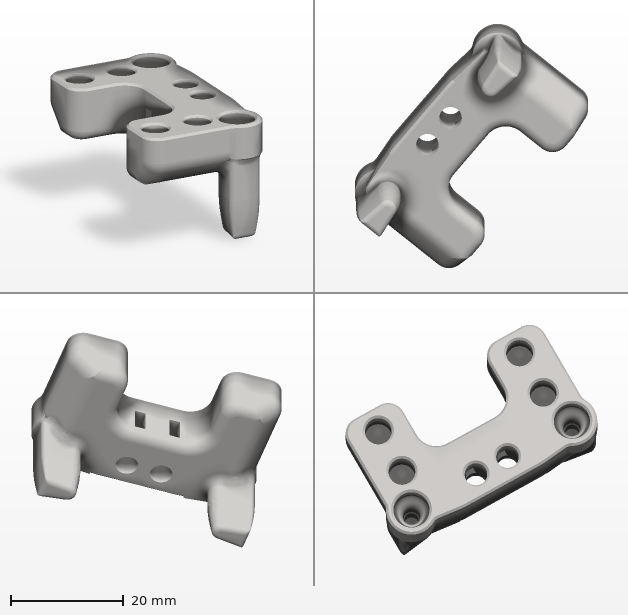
import cadquery as cq
import math

body_height = 10.0
arm_outer_x = 20.0
arm_inner_x = 8.8
arm_front_y = -19.35
slot_back_y = -7.38
slot_corner_radius = 4.0
arm_corner_radius = 3.0
underside_radius = 2.0
arm_bevel = 4.0
bevel_angle = math.radians(45)
bevel_foot_x = arm_bevel - arm_outer_x
bend_tangent = arm_corner_radius * math.tan(bevel_angle / 2)
edge_break = 0.4
rear_underside_bevel = 0.5

rear_y = 4.2
rear_flat_half = 8.0
rear_slope_angle = math.radians(6.3)
rear_bend_radius = 10.0

boss_x = 16.35
boss_radius = 4.5
boss_wall_bottom = 3.7
boss_blend_radius = 2.0

body_length = boss_radius - arm_front_y

leg_width = 8.0
leg_depth = 6.0
leg_center_x = arm_outer_x - leg_width / 2
leg_tip_z = -12.0
leg_taper_start_z = -4.38
leg_taper_radius = 30.0
leg_taper_angle = math.radians(10)
leg_tip_radius = 1.0
leg_outer_corner_radius = 1.0
leg_nose_radius = 2.35
leg_root_radius = 1.5
leg_top_z = 6.25

joint_margin = 0.1

screw_bore_radius = 3.2
screw_bore_depth = 3.0
screw_cone_radius = 2.25
screw_shank_radius = 1.5
pilot_radius = 1.3
shank_depth = 8.35
pilot_depth = 11.65
drill_tip_angle = math.radians(59)

pocket_radius = 2.38
pocket_x = 14.4
pocket_ys = (-6.88, -15.35)
pocket_depth = 5.0

bridge_hole_x = 3.2
bridge_hole_radius = 2.0
window_width = 2.0
window_bottom = 2.15
window_height = 4.13


def nearest(x, y, z):
    """Selector for the edge closest to a point."""
    return cq.selectors.NearestToPointSelector((x, y, z))


def spin(profile, x, y):
    """Turn a half profile about the Z axis and place it at (x, y)."""
    return profile.revolve(360, (0, 0, 0), (0, 1, 0)).translate((x, y, 0))


def rear_slope_y(x):
    """Y of the sloping rear wall at a given distance from the middle plane."""
    return rear_y - (x - rear_flat_half) * math.tan(rear_slope_angle)


def body_blank():
    """Left half of the body outline at full height, with sharp corners."""
    return (
        cq.Workplane("XY")
        .moveTo(0, rear_y)
        .lineTo(-rear_flat_half, rear_y)
        .lineTo(-boss_x, rear_slope_y(boss_x))
        .lineTo(-arm_outer_x, 0)
        .lineTo(-arm_outer_x, arm_front_y)
        .lineTo(-arm_inner_x, arm_front_y)
        .lineTo(-arm_inner_x, slot_back_y)
        .lineTo(0, slot_back_y)
        .close()
        .extrude(body_height)
    )


def kink_cutter():
    """Prism removed to round the edge where the arm bevel meets the underside."""
    half_bend = bevel_angle / 2
    return (
        cq.Workplane("XZ")
        .moveTo(bevel_foot_x + bend_tangent, 0)
        .threePointArc(
            (
                bevel_foot_x + bend_tangent - arm_corner_radius * math.sin(half_bend),
                arm_corner_radius * (1 - math.cos(half_bend)),
            ),
            (
                bevel_foot_x - bend_tangent * math.cos(bevel_angle),
                bend_tangent * math.sin(bevel_angle),
            ),
        )
        .lineTo(bevel_foot_x - bend_tangent, -bend_tangent)
        .close()
        .extrude(body_length, both=True)
    )


def body_half():
    """Left half of the U-shaped body, rounded but without boss or leg."""
    bevel = (
        cq.Workplane("XZ")
        .moveTo(-arm_outer_x, 0)
        .lineTo(bevel_foot_x, 0)
        .lineTo(-arm_outer_x, arm_bevel)
        .close()
        .extrude(body_length, both=True)
    )
    body = body_blank().cut(bevel)

    mid_z = body_height / 2
    half_bevel = arm_bevel / 2
    body = body.edges(nearest(-arm_outer_x, arm_front_y / 2, arm_bevel)).fillet(arm_corner_radius)
    body = body.edges(nearest(-rear_flat_half, rear_y, mid_z)).fillet(rear_bend_radius)
    body = body.edges(nearest(-arm_inner_x, slot_back_y, mid_z)).fillet(slot_corner_radius)
    body = body.edges(nearest(-arm_inner_x, arm_front_y, mid_z)).fillet(arm_corner_radius)
    body = body.edges(nearest(half_bevel - arm_outer_x, arm_front_y, half_bevel)).fillet(arm_corner_radius)
    body = body.edges(nearest(-arm_inner_x, arm_front_y / 2, 0)).fillet(underside_radius)
    body = body.edges(nearest(-rear_flat_half / 2, rear_y, 0)).chamfer(rear_underside_bevel)
    return body.cut(kink_cutter())


def boss():
    """Round boss with a conical underside."""
    profile = (
        cq.Workplane("XZ")
        .moveTo(0, body_height)
        .lineTo(boss_radius, body_height)
        .lineTo(boss_radius, boss_wall_bottom)
        .lineTo(boss_radius - boss_wall_bottom, 0)
        .lineTo(0, 0)
        .close()
    )
    return spin(profile, -boss_x, 0)


def leg_prism(bottom_z):
    """Straight bar with the full leg section: flat outer side, flanks closing to a round nose."""
    center_gap_x = leg_width - leg_outer_corner_radius - leg_nose_radius
    corner_y = leg_depth / 2 - leg_outer_corner_radius
    corner_x = leg_outer_corner_radius - leg_width / 2
    nose_x = leg_width / 2 - leg_nose_radius
    center_distance = math.hypot(center_gap_x, corner_y)
    flank_tilt = math.atan2(corner_y, center_gap_x) - math.asin(
        (leg_nose_radius - leg_outer_corner_radius) / center_distance
    )

    def on_arc(center_x, center_y, radius, angle):
        return (center_x + radius * math.cos(angle), center_y + radius * math.sin(angle))

    flank_normal = math.pi / 2 - flank_tilt
    corner_middle = (math.pi + flank_normal) / 2
    corner_start = on_arc(corner_x, corner_y, leg_outer_corner_radius, flank_normal)
    corner_mid = on_arc(corner_x, corner_y, leg_outer_corner_radius, corner_middle)
    nose_start = on_arc(nose_x, 0, leg_nose_radius, flank_normal)
    return (
        cq.Workplane("XY", origin=(0, 0, bottom_z))
        .moveTo(leg_width / 2, 0)
        .threePointArc(on_arc(nose_x, 0, leg_nose_radius, flank_normal / 2), nose_start)
        .lineTo(*corner_start)
        .threePointArc(corner_mid, (-leg_width / 2, corner_y))
        .lineTo(-leg_width / 2, -corner_y)
        .threePointArc((corner_mid[0], -corner_mid[1]), (corner_start[0], -corner_start[1]))
        .lineTo(nose_start[0], -nose_start[1])
        .threePointArc(on_arc(nose_x, 0, leg_nose_radius, -flank_normal / 2), (leg_width / 2, 0))
        .close()
        .extrude(leg_top_z - bottom_z)
    )


def taper_cutter():
    """Ring removed around the lower leg, leaving an inward curve and then a straight taper."""
    half_width = leg_width / 2

    def on_curve(angle):
        return (
            half_width - leg_taper_radius * (1 - math.cos(angle)),
            leg_taper_start_z - leg_taper_radius * math.sin(angle),
        )

    overlap = 0.4
    curve_end_x, curve_end_z = on_curve(leg_taper_angle)
    ring_bottom_z = leg_tip_z - overlap
    ring_bottom_x = curve_end_x - (curve_end_z - ring_bottom_z) * math.tan(leg_taper_angle)
    section = (
        cq.Workplane("XZ")
        .moveTo(half_width, leg_taper_start_z)
        .threePointArc(on_curve(leg_taper_angle / 2), (curve_end_x, curve_end_z))
        .lineTo(ring_bottom_x, ring_bottom_z)
        .lineTo(half_width + overlap, ring_bottom_z)
        .lineTo(half_width + overlap, leg_taper_start_z)
        .close()
    )
    path = leg_prism(leg_taper_start_z).faces("<Z").wires().val()
    return section.sweep(cq.Workplane(path))


def leg():
    """Tapered leg with a rounded tip, in place below the left boss."""
    shape = leg_prism(leg_tip_z).cut(taper_cutter())
    shape = shape.faces("<Z").edges().fillet(leg_tip_radius)
    return shape.translate((-leg_center_x, 0, 0))


def upper_leg():
    """Untapered part of the leg, in place below the left boss."""
    return leg_prism(leg_taper_start_z).translate((-leg_center_x, 0, 0))


def leg_root():
    """Fillet where the leg meets the underside, trimmed to stay within the body outline."""
    reach = leg_width
    slab = (
        cq.Workplane("XZ")
        .moveTo(-arm_inner_x, 0)
        .lineTo(bevel_foot_x, 0)
        .lineTo(bevel_foot_x - reach, reach)
        .lineTo(-arm_inner_x, reach)
        .close()
        .extrude(reach, both=True)
        .edges(nearest(bevel_foot_x, 0, 0))
        .fillet(arm_corner_radius)
    )
    joint_edges = cq.selectors.BoxSelector(
        (-arm_outer_x - joint_margin, -leg_depth / 2 - joint_margin, -joint_margin),
        (leg_width - arm_outer_x + joint_margin, leg_depth / 2 + joint_margin, arm_bevel + joint_margin),
        boundingbox=True,
    )
    root = slab.union(upper_leg()).edges(joint_edges).fillet(leg_root_radius)
    top_z = arm_bevel - bend_tangent * math.sin(bevel_angle)
    keep = body_blank().translate((0, 0, top_z - body_height))
    near_leg = cq.Workplane("XY").box(leg_width * 2, leg_depth * 2, body_height * 2)
    keep = keep.intersect(near_leg.translate((-leg_center_x, 0, 0)))
    return root.intersect(keep)


def boss_root():
    """Fillet between the conical underside of the boss and the upper leg."""
    cone_joint = cq.selectors.BoxSelector(
        (-boss_x - boss_radius, -boss_radius, 0),
        (-boss_x + boss_radius, boss_radius, boss_wall_bottom - joint_margin),
        boundingbox=True,
    )
    return boss().union(upper_leg()).edges(cone_joint).fillet(leg_root_radius)


def left_half():
    """Left half of the bracket, solid, with its boss blended in and its leg attached."""
    half = body_half().union(boss())
    mid_z = body_height / 2
    half = half.edges(nearest(-arm_outer_x, -boss_radius / 2, mid_z)).fillet(boss_blend_radius)
    half = half.edges(nearest(boss_radius - boss_x, rear_y, mid_z)).fillet(boss_blend_radius)
    return half.union(boss_root()).union(leg_root()).union(leg())


def rimmed_hole(radius, depth, x, y):
    """Cutter for a plain round hole with a chamfered mouth in the top face."""
    bottom_z = body_height - depth
    profile = (
        cq.Workplane("XZ")
        .moveTo(0, body_height)
        .lineTo(radius + edge_break, body_height)
        .lineTo(radius, body_height - edge_break)
        .lineTo(radius, bottom_z)
        .lineTo(0, bottom_z)
        .close()
    )
    return spin(profile, x, y)


def screw_hole(x):
    """Cutter for a counterbore, cone and rounded throat leading into a drilled pilot."""
    cone_top = body_height - screw_bore_depth
    cone_bottom = cone_top - (screw_bore_radius - screw_cone_radius)
    cone_angle = math.radians(45)
    throat_radius = (screw_cone_radius - screw_shank_radius) / (1 - math.cos(cone_angle))
    throat_bottom = cone_bottom - throat_radius * math.sin(cone_angle)
    throat_mid = (
        screw_shank_radius + throat_radius * (1 - math.cos(cone_angle / 2)),
        throat_bottom + throat_radius * math.sin(cone_angle / 2),
    )
    pilot_bottom = body_height - pilot_depth
    profile = (
        cq.Workplane("XZ")
        .moveTo(0, body_height)
        .lineTo(screw_bore_radius + edge_break, body_height)
        .lineTo(screw_bore_radius, body_height - edge_break)
        .lineTo(screw_bore_radius, cone_top)
        .lineTo(screw_cone_radius, cone_bottom)
        .threePointArc(throat_mid, (screw_shank_radius, throat_bottom))
        .lineTo(screw_shank_radius, body_height - shank_depth)
        .lineTo(pilot_radius, body_height - shank_depth - (screw_shank_radius - pilot_radius))
        .lineTo(pilot_radius, pilot_bottom)
        .lineTo(0, pilot_bottom - pilot_radius / math.tan(drill_tip_angle))
        .close()
    )
    return spin(profile, x, 0)


def window(x):
    """Cutter for a rectangular opening from the slot wall to a bridge hole."""
    return cq.Workplane("XY", origin=(x, slot_back_y / 2, window_bottom)).box(
        window_width, -slot_back_y, window_height, centered=(True, True, False)
    )


half = left_half()
result = half.union(half.mirror("YZ"))
result = result.faces(">Z").edges().chamfer(edge_break)
for side in (-1, 1):
    result = result.cut(screw_hole(side * boss_x))
    result = result.cut(rimmed_hole(bridge_hole_radius, body_height, side * bridge_hole_x, 0))
    result = result.cut(window(side * bridge_hole_x))
    for pocket_y in pocket_ys:
        result = result.cut(rimmed_hole(pocket_radius, pocket_depth, side * pocket_x, pocket_y))